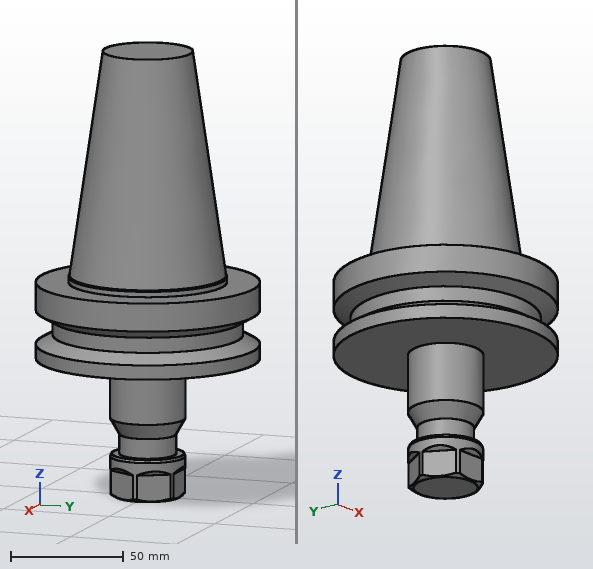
import cadquery as cq

total_height = 201.8

taper_ratio = 7 / 24
gauge_diameter = 69.8
gauge_z = 100.0
land_diameter = 70.6
land_top_z = 99.5

flange_diameter = 99.9
flange_bottom_z = 62.5
flange_top_z = 97.0
groove_diameter = 85.0
groove_lower_edge_z = 69.0
groove_upper_edge_z = 84.4
groove_wall_height = 4.2

shank_diameter = 33.7
shank_bottom_z = 35.5
neck_diameter = 25.5
neck_top_z = 28.3

nut_diameter = 33.5
nut_height = 19.4
nut_top_chamfer_height = 1.2
nut_top_chamfer_width = 0.6
nut_bottom_chamfer_height = 1.5
nut_bottom_chamfer_width = 2.5
across_flats = 29.9
flat_top_z = 12.3
flat_runout_height = 2.0
flat_count = 6


def make_holder():
    """Revolved taper, flange, shank and neck, resting on the nut."""
    taper_length = total_height - gauge_z
    gauge_radius = gauge_diameter / 2
    tip_radius = gauge_radius - taper_length * taper_ratio / 2
    land_radius = land_diameter / 2
    flange_radius = flange_diameter / 2
    groove_radius = groove_diameter / 2
    shank_radius = shank_diameter / 2
    neck_radius = neck_diameter / 2
    outline = [
        (0, nut_height),
        (neck_radius, nut_height),
        (neck_radius, neck_top_z),
        (shank_radius, shank_bottom_z),
        (shank_radius, flange_bottom_z),
        (flange_radius, flange_bottom_z),
        (flange_radius, groove_lower_edge_z),
        (groove_radius, groove_lower_edge_z + groove_wall_height),
        (groove_radius, groove_upper_edge_z - groove_wall_height),
        (flange_radius, groove_upper_edge_z),
        (flange_radius, flange_top_z),
        (land_radius, flange_top_z),
        (land_radius, land_top_z),
        (gauge_radius, gauge_z),
        (tip_radius, total_height),
        (0, total_height),
    ]
    return cq.Workplane("XZ").polyline(outline).close().revolve(360, (0, 0), (0, 1))


def make_nut():
    """Round nut chamfered at both ends, with six wrench flats below its collar."""
    nut_radius = nut_diameter / 2
    outline = [
        (0, 0),
        (nut_radius - nut_bottom_chamfer_width, 0),
        (nut_radius, nut_bottom_chamfer_height),
        (nut_radius, nut_height - nut_top_chamfer_height),
        (nut_radius - nut_top_chamfer_width, nut_height),
        (0, nut_height),
    ]
    nut = cq.Workplane("XZ").polyline(outline).close().revolve(360, (0, 0), (0, 1))

    flat_distance = across_flats / 2
    runout_slope = flat_runout_height / (nut_radius - flat_distance)
    cutter_reach = nut_diameter
    cutter_top_z = flat_top_z + runout_slope * (cutter_reach - flat_distance)
    cutter_outline = [
        (flat_distance, 0),
        (cutter_reach, 0),
        (cutter_reach, cutter_top_z),
        (flat_distance, flat_top_z),
    ]
    cutter = cq.Workplane("YZ").polyline(cutter_outline).close().extrude(nut_radius, both=True)
    for index in range(flat_count):
        angle = index * 360 / flat_count
        nut = nut.cut(cutter.rotate((0, 0, 0), (0, 0, 1), angle))
    return nut


result = make_holder().union(make_nut())